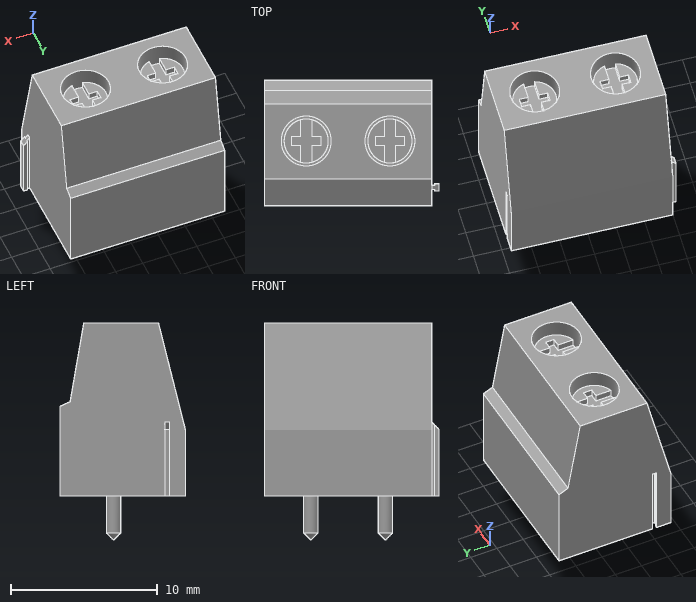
import cadquery as cq

body_width = 11.4
body_depth = 8.56
body_height = 11.8
front_wall_height = 4.5
front_top_setback = 1.84
back_wall_height = 6.12
shoulder_depth = 0.69
shoulder_height = 6.44
back_top_setback = 1.62

pole_count = 2
pole_pitch = body_width / pole_count
screw_y = 4.42
well_diameter = 3.4
screw_diameter = 3.0
screw_top_depth = 1.0
well_gap_depth = 1.0
cross_depth = 0.5
cross_long_width = 0.76
cross_short_width = 0.62
cross_short_length = 2.0

pin_pitch = 5.08
pin_y = 4.9
pin_diameter = 1.0
pin_length = 3.0
pin_tip_length = pin_diameter / 2

interlock_y = 1.26
interlock_length = 0.5
interlock_height = 5.05
interlock_neck_width = 0.3
interlock_head_width = 0.5
rail_neck_length = 0.2
groove_neck_length = 0.15


def centred_positions(count, pitch):
    """X positions of a row of features centred on the housing width."""
    first = (body_width - (count - 1) * pitch) / 2
    return [first + i * pitch for i in range(count)]


def make_housing():
    """Housing block with a stepped back and a sloping front."""
    profile = [
        (0, 0),
        (body_depth, 0),
        (body_depth, back_wall_height),
        (body_depth - shoulder_depth, shoulder_height),
        (body_depth - back_top_setback, body_height),
        (front_top_setback, body_height),
        (0, front_wall_height),
    ]
    return cq.Workplane("YZ").polyline(profile).close().extrude(body_width)


def make_disc(x, diameter, top_z, depth):
    """Vertical cylinder on a screw axis, reaching down from top_z."""
    plane = cq.Workplane("XY", origin=(x, screw_y, top_z))
    return plane.circle(diameter / 2).extrude(-depth)


def make_screw_well(x):
    """Space removed around and above one screw, including its cross recess."""
    screw_top = body_height - screw_top_depth
    well = make_disc(x, well_diameter, body_height, screw_top_depth + well_gap_depth)
    screw = make_disc(x, screw_diameter, screw_top, well_gap_depth)
    plane = cq.Workplane("XY", origin=(x, screw_y, screw_top))
    long_slot = plane.rect(cross_long_width, screw_diameter).extrude(-cross_depth)
    short_slot = plane.rect(cross_short_length, cross_short_width).extrude(-cross_depth)
    return well.cut(screw.cut(long_slot).cut(short_slot))


def make_pin(x):
    """Round pin below the housing, turned from its half profile."""
    half_profile = [
        (0, 0),
        (pin_diameter / 2, 0),
        (pin_diameter / 2, pin_tip_length - pin_length),
        (0, -pin_length),
    ]
    pin = cq.Workplane("XZ", origin=(x, pin_y, 0)).polyline(half_profile).close()
    return pin.revolve(360, (0, 0), (0, 1))


def make_interlock_bar(start_x, end_x, width):
    """Upright bar between two X distances, topped by a 45 degree slope falling from x = 0."""
    outline = [
        (start_x, 0),
        (end_x, 0),
        (end_x, interlock_height - end_x),
        (start_x, interlock_height - start_x),
    ]
    bar = cq.Workplane("XZ", origin=(0, interlock_y, 0)).polyline(outline).close()
    return bar.extrude(width / 2, both=True)


def make_interlock(side_x, neck_length):
    """T-section bar reaching in +X from side_x: a narrow neck, then a wider head."""
    neck = make_interlock_bar(0, neck_length, interlock_neck_width)
    head = make_interlock_bar(neck_length, interlock_length, interlock_head_width)
    return neck.union(head).translate((side_x, 0, 0))


result = make_housing()
for screw_x in centred_positions(pole_count, pole_pitch):
    result = result.cut(make_screw_well(screw_x))
for pin_x in centred_positions(pole_count, pin_pitch):
    result = result.union(make_pin(pin_x))
result = result.cut(make_interlock(0, groove_neck_length))
result = result.union(make_interlock(body_width, rail_neck_length))